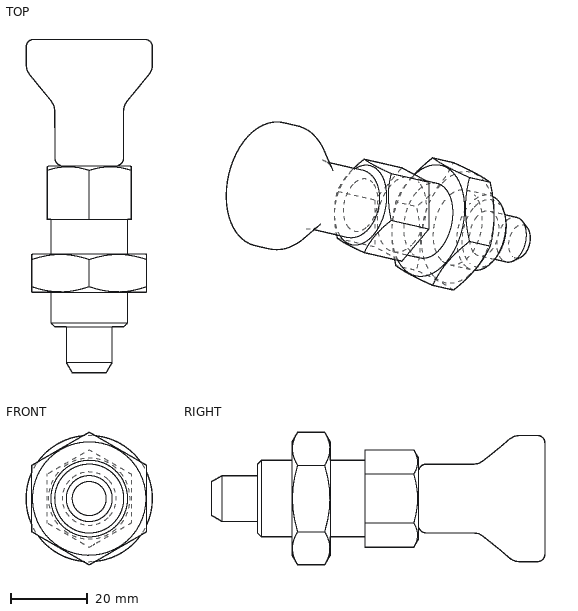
import cadquery as cq
import math


pin_diameter = 12.0
pin_length = 12.0
pin_chamfer_length = 2.7
pin_chamfer_angle = 30.0

body_diameter = 20.0
body_chamfer = 1.0
body_length = 28.0

collar_across_flats = 22.0
collar_length = 14.0
collar_chamfer_inset = 0.4

nut_across_flats = 30.0
nut_thickness = 10.0
nut_start = 9.0
nut_chamfer_inset = 0.2

hex_chamfer_angle = 30.0

knob_end = 75.0
knob_length = 33.0
knob_head_diameter = 33.0
knob_neck_diameter = 18.0
knob_cone_start = 8.1
knob_cone_end = 17.25
knob_edge_radius = 2.0
knob_blend_radius = 4.0


def revolve_about_axis(points):
    """Revolve a closed outline of (radius, y) points about the Y axis."""
    return cq.Workplane("XY").polyline(points).close().revolve(360, (0, 0, 0), (0, 1, 0))


def make_pin():
    """Round pin with a tapered tip, reaching through the body for a solid joint."""
    radius = pin_diameter / 2
    tip_radius = radius - pin_chamfer_length * math.tan(math.radians(pin_chamfer_angle))
    return revolve_about_axis([
        (0, -pin_length),
        (tip_radius, -pin_length),
        (radius, -pin_length + pin_chamfer_length),
        (radius, body_length),
        (0, body_length),
    ])


def make_body():
    """Round body with a chamfered front edge."""
    radius = body_diameter / 2
    return revolve_about_axis([
        (0, 0),
        (radius - body_chamfer, 0),
        (radius, body_chamfer),
        (radius, body_length),
        (0, body_length),
    ])


def make_hexagon(across_flats, start, length, chamfer_inset, chamfer_front):
    """Hexagon with flats facing X and conical chamfers at its back and, if asked, its front."""
    end = start + length
    corner_radius = across_flats / math.sqrt(3)
    face_radius = across_flats / 2 - chamfer_inset
    chamfer_depth = (corner_radius - face_radius) * math.tan(math.radians(hex_chamfer_angle))

    front_points = [(0, start), (corner_radius, start)]
    if chamfer_front:
        front_points = [(0, start), (face_radius, start), (corner_radius, start + chamfer_depth)]
    back_points = [(corner_radius, end - chamfer_depth), (face_radius, end), (0, end)]

    prism = (
        cq.Workplane("XZ", origin=(0, start, 0))
        .transformed(rotate=(0, 0, 90))
        .polygon(6, 2 * corner_radius)
        .extrude(-length)
    )
    return prism.intersect(revolve_about_axis(front_points + back_points))


def make_knob():
    """Pull knob: wide head, cone and neck, with its circular edges rounded."""
    head_radius = knob_head_diameter / 2
    neck_radius = knob_neck_diameter / 2
    knob_start = knob_end - knob_length
    knob = revolve_about_axis([
        (0, knob_start),
        (neck_radius, knob_start),
        (neck_radius, knob_end - knob_cone_end),
        (head_radius, knob_end - knob_cone_start),
        (head_radius, knob_end),
        (0, knob_end),
    ])
    knob = knob.faces("%CONE").edges("%CIRCLE").fillet(knob_blend_radius)
    return knob.faces("<Y or >Y").edges("%CIRCLE").fillet(knob_edge_radius)


collar = make_hexagon(
    collar_across_flats, body_length, collar_length, collar_chamfer_inset, chamfer_front=False
)
nut = make_hexagon(
    nut_across_flats, nut_start, nut_thickness, nut_chamfer_inset, chamfer_front=True
)

result = make_body().union(make_pin()).union(nut).union(collar).union(make_knob())